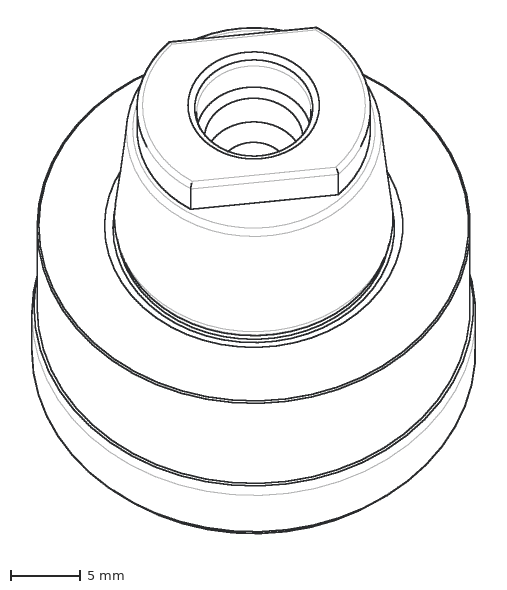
import cadquery as cq

total_height = 31.95
shoulder_height = 16.97
neck_foot_height = 17.15
neck_band_height = 17.48
cone_start_height = 17.95
neck_top = 29.0

ring_radius = 16.0
base_radius = 15.18
base_chamfer_height = 1.4
ring_straight_top = 5.95
ring_top = 6.9
ring_top_radius = 15.85
body_radius = 15.63
body_edge_chamfer = 0.13

neck_base_radius = 10.05
neck_band_radius = 10.0
neck_foot_radius = 9.85
neck_top_radius = 9.15
neck_fillet = 0.45
groove_radius = 10.75
groove_floor_radius = 10.15
groove_depth = 0.25

boss_radius = 8.42
flat_distance = 6.5
flat_normal_angle = 150
boss_fillet = 0.4

mouth_radius = 4.75
lead_in_radius = 4.25
lead_in_depth = 0.32
bore_radius = 4.13
bore_start_depth = 0.85
bore_depth = 3.52
inner_bore_radius = 3.55
inner_bore_depth = 7.05
through_radius = 2.5


def turned_body():
    """Revolved body, groove and tapered neck."""
    outline = (
        cq.Workplane("XZ")
        .moveTo(0, 0)
        .lineTo(base_radius, 0)
        .lineTo(ring_radius, base_chamfer_height)
        .lineTo(ring_radius, ring_straight_top)
        .lineTo(ring_top_radius, ring_top)
        .lineTo(body_radius, ring_top)
        .lineTo(body_radius, shoulder_height - body_edge_chamfer)
        .lineTo(body_radius - body_edge_chamfer, shoulder_height)
        .lineTo(groove_radius, shoulder_height)
        .lineTo(groove_floor_radius, shoulder_height - groove_depth)
        .lineTo(neck_foot_radius, shoulder_height - groove_depth)
        .lineTo(neck_foot_radius, neck_foot_height)
        .lineTo(neck_band_radius, neck_band_height)
        .lineTo(neck_base_radius, cone_start_height)
        .lineTo(neck_top_radius, neck_top)
        .lineTo(0, neck_top)
        .close()
    )
    body = outline.revolve(360, (0, 0, 0), (0, 1, 0))
    return body.faces(">Z").edges().fillet(neck_fillet)


def wrench_boss():
    """Round boss cut by two parallel flats, rounded along its top edge."""
    height = total_height - neck_top
    disc = cq.Workplane("XY").circle(boss_radius).extrude(height)
    slab = cq.Workplane("XY").rect(2 * flat_distance, 2 * boss_radius).extrude(height)
    boss = disc.intersect(slab).faces(">Z").edges().fillet(boss_fillet)
    return boss.rotate((0, 0, 0), (0, 0, 1), flat_normal_angle).translate((0, 0, neck_top))


def stepped_bore():
    """Through hole widening upward in two cylindrical bores joined by 45 degree cones."""
    bore_floor = total_height - bore_depth
    step_bottom = bore_floor - (bore_radius - inner_bore_radius)
    inner_floor = total_height - inner_bore_depth
    seat_bottom = inner_floor - (inner_bore_radius - through_radius)
    outline = (
        cq.Workplane("XZ")
        .moveTo(0, 0)
        .lineTo(through_radius, 0)
        .lineTo(through_radius, seat_bottom)
        .lineTo(inner_bore_radius, inner_floor)
        .lineTo(inner_bore_radius, step_bottom)
        .lineTo(bore_radius, bore_floor)
        .lineTo(bore_radius, total_height - bore_start_depth)
        .lineTo(lead_in_radius, total_height - lead_in_depth)
        .lineTo(mouth_radius, total_height)
        .lineTo(0, total_height)
        .close()
    )
    return outline.revolve(360, (0, 0, 0), (0, 1, 0))


result = turned_body().union(wrench_boss()).cut(stepped_bore())